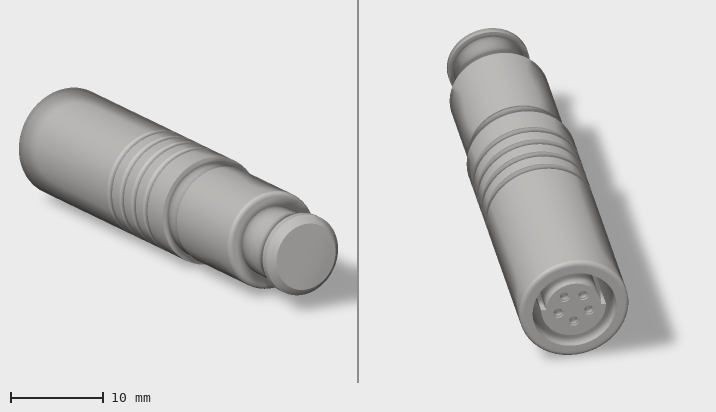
import cadquery as cq
import math

TOTAL_LENGTH = 51.0
SLEEVE_END = 30.8
NECK_END = 32.9
BODY_END = 44.0
FLANGE_START = 49.4

SLEEVE_RADIUS = 6.0
NECK_RADIUS = 5.3
BODY_RADIUS = 5.45
STEM_RADIUS = 3.9
FLANGE_RADIUS = 4.5
EDGE_FILLET = 0.5
FLANGE_CHAMFER = 0.8

GROOVE_COUNT = 4
GROOVE_START = 19.1
GROOVE_PITCH = 2.5
GROOVE_WIDTH = 1.0
GROOVE_DEPTH = 0.33

SOCKET_RADIUS = 4.6
SOCKET_DEPTH = 10.0
INSERT_RADIUS = 3.0
INSERT_RECESS = 0.45
KEY_RADIUS = 3.55
KEY_SETBACK = 0.05

CONTACT_COUNT = 5
CONTACT_CIRCLE_RADIUS = 1.75
FIRST_CONTACT_ANGLE = -90.0
CONTACT_RADIUS = 0.45
CONTACT_DEPTH = 5.0
COUNTERBORE_RADIUS = 0.6
COUNTERBORE_DEPTH = 0.2


def cylinder(start, end, radius):
    """Solid cylinder on the X axis between two stations."""
    return cq.Workplane("YZ").workplane(offset=start).circle(radius).extrude(end - start)


def make_outer_shape():
    sleeve = cylinder(0, SLEEVE_END, SLEEVE_RADIUS).faces("<X").edges().fillet(EDGE_FILLET)
    neck = cylinder(SLEEVE_END, NECK_END, NECK_RADIUS)
    body = cylinder(NECK_END, BODY_END, BODY_RADIUS).faces(">X").edges().fillet(EDGE_FILLET)
    stem = cylinder(BODY_END, FLANGE_START, STEM_RADIUS)
    flange = cylinder(FLANGE_START, TOTAL_LENGTH, FLANGE_RADIUS)
    flange = flange.faces(">X").edges().chamfer(FLANGE_CHAMFER)
    return sleeve.union(neck).union(body).union(stem).union(flange)


def make_groove(start):
    """Ring to cut away: the groove's bottom arc is centred on the sleeve surface."""
    end = start + GROOVE_WIDTH
    arc_center = end - GROOVE_DEPTH
    ramp_angle = math.asin(GROOVE_DEPTH / (GROOVE_WIDTH - GROOVE_DEPTH))
    tangent_point = (
        arc_center - GROOVE_DEPTH * math.sin(ramp_angle),
        SLEEVE_RADIUS - GROOVE_DEPTH * math.cos(ramp_angle),
    )
    profile = (
        cq.Workplane("XY")
        .moveTo(start, SLEEVE_RADIUS)
        .lineTo(*tangent_point)
        .threePointArc(
            (arc_center, SLEEVE_RADIUS - GROOVE_DEPTH),
            (end, SLEEVE_RADIUS),
        )
        .lineTo(end, SLEEVE_RADIUS + GROOVE_DEPTH)
        .lineTo(start, SLEEVE_RADIUS + GROOVE_DEPTH)
        .close()
    )
    return profile.revolve(360, (0, 0, 0), (1, 0, 0))


def make_insert():
    """Round insert with a half-ring key around its lower half, standing on the socket floor."""
    core = cylinder(INSERT_RECESS, SOCKET_DEPTH, INSERT_RADIUS)
    key_start = INSERT_RECESS + KEY_SETBACK
    lower_half = cq.Workplane("XY").box(
        SOCKET_DEPTH, 2 * KEY_RADIUS, KEY_RADIUS, centered=(False, True, False)
    ).translate((0, 0, -KEY_RADIUS))
    key = cylinder(key_start, SOCKET_DEPTH, KEY_RADIUS).intersect(lower_half)
    return core.union(key)


def cut_contact_holes(part):
    for index in range(CONTACT_COUNT):
        angle = math.radians(FIRST_CONTACT_ANGLE + index * 360 / CONTACT_COUNT)
        offset = (
            0,
            CONTACT_CIRCLE_RADIUS * math.cos(angle),
            CONTACT_CIRCLE_RADIUS * math.sin(angle),
        )
        hole = cylinder(INSERT_RECESS, INSERT_RECESS + CONTACT_DEPTH, CONTACT_RADIUS)
        counterbore = cylinder(
            INSERT_RECESS, INSERT_RECESS + COUNTERBORE_DEPTH, COUNTERBORE_RADIUS
        )
        part = part.cut(hole.union(counterbore).translate(offset))
    return part


result = make_outer_shape()
for groove_index in range(GROOVE_COUNT):
    result = result.cut(make_groove(GROOVE_START + groove_index * GROOVE_PITCH))
result = result.cut(cylinder(0, SOCKET_DEPTH, SOCKET_RADIUS)).union(make_insert())
result = cut_contact_holes(result)